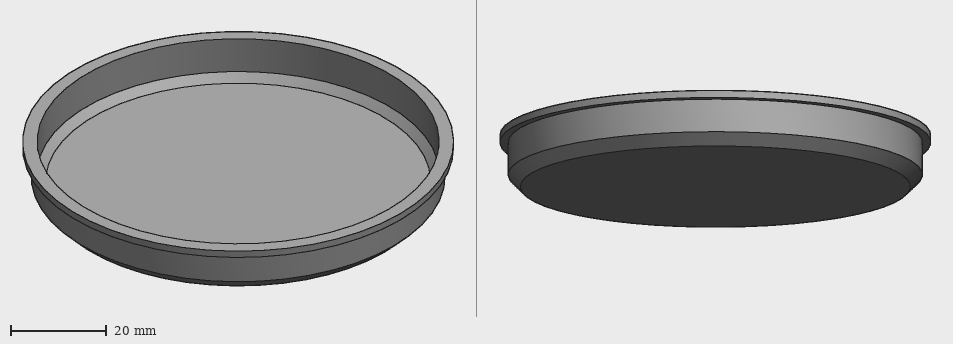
import cadquery as cq
import math

rim_diameter = 90.0
body_diameter = 86.5
inner_diameter = 84.0
height = 11.0
rim_thickness = 1.5
outer_chamfer = 2.5

wall = (body_diameter - inner_diameter) / 2
inner_chamfer = outer_chamfer - wall * (2 - math.sqrt(2))


def bevelled_disc(diameter, bottom, chamfer):
    """Disc from the given bottom up to the rim top, with its lower edge bevelled."""
    return (
        cq.Workplane("XY", origin=(0, 0, bottom))
        .circle(diameter / 2)
        .extrude(height - bottom)
        .faces("<Z")
        .edges()
        .chamfer(chamfer)
    )


body = bevelled_disc(body_diameter, 0, outer_chamfer)
cavity = bevelled_disc(inner_diameter, wall, inner_chamfer)

rim = (
    cq.Workplane("XY", origin=(0, 0, height - rim_thickness))
    .circle(rim_diameter / 2)
    .extrude(rim_thickness)
)

result = body.union(rim).cut(cavity)